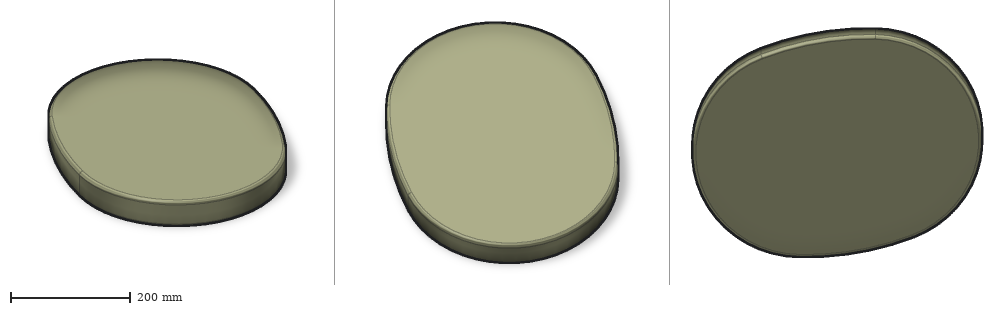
import cadquery as cq
import math

length = 489.0
width = 379.0
height = 50.0

end_radius = 183.5
edge_radius = 6.5

half_length = length / 2
half_width = width / 2
end_center_x = half_length - end_radius
radius_gap = half_width - end_radius
side_radius = (end_center_x**2 + half_width**2 - end_radius**2) / (2 * radius_gap)

join_angle = math.asin(end_center_x / (side_radius - end_radius))
join_x = side_radius * math.sin(join_angle)
join_y = end_radius * math.cos(join_angle)


def oval_plate():
    """Upright oval slab centred on the origin in X and Y."""
    return (
        cq.Workplane("XY")
        .moveTo(-join_x, join_y)
        .threePointArc((0, half_width), (join_x, join_y))
        .threePointArc((half_length, 0), (join_x, -join_y))
        .threePointArc((0, -half_width), (-join_x, -join_y))
        .threePointArc((-half_length, 0), (-join_x, join_y))
        .close()
        .extrude(height)
    )


result = oval_plate().faces("<Z or >Z").edges().fillet(edge_radius)